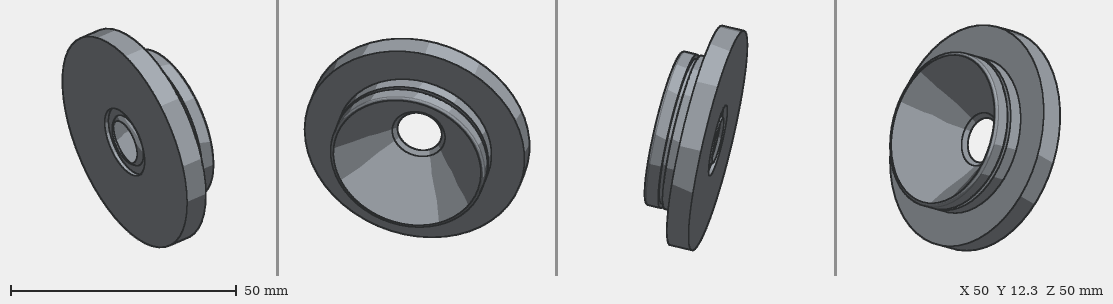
import cadquery as cq
import math

flange_diameter = 50.0
flange_thickness = 5.0

hub_diameter = 35.0
hub_length = 7.25
hub_edge_radius = 0.5

groove_diameter = 33.0
groove_width = 1.0
groove_offset = 3.0

throat_diameter = 10.0
mouth_diameter = 33.5

recess_diameter = 16.0
recess_depth = 1.0
lip_base_diameter = 12.0
lip_arc_radius = 2.5

total_length = flange_thickness + hub_length


def disc(diameter, start, length):
    """Solid cylinder along +Y that begins at Y = start."""
    plane = cq.Workplane("XZ", origin=(0, start, 0))
    return plane.circle(diameter / 2).extrude(-length)


def cone(start_diameter, end_diameter, length):
    """Solid truncated cone along +Y that begins at Y = 0."""
    origin = cq.Vector(0, 0, 0)
    axis = cq.Vector(0, 1, 0)
    return cq.Workplane(
        cq.Solid.makeCone(start_diameter / 2, end_diameter / 2, length, origin, axis)
    )


flange = disc(flange_diameter, 0, flange_thickness)
hub = disc(hub_diameter, flange_thickness, hub_length)
hub = hub.faces(">Y").edges().fillet(hub_edge_radius)
body = flange.union(hub)

groove_start = flange_thickness + groove_offset
groove = disc(hub_diameter, groove_start, groove_width).cut(
    disc(groove_diameter, groove_start, groove_width)
)

tip_radius = throat_diameter / 2
base_radius = lip_base_diameter / 2
lip_width = base_radius - tip_radius
lip_chord = math.hypot(lip_width, recess_depth)
lip_bulge = lip_arc_radius - math.sqrt(lip_arc_radius**2 - (lip_chord / 2) ** 2)
lip_crown = (
    (tip_radius + base_radius) / 2 + lip_bulge * recess_depth / lip_chord,
    recess_depth / 2 - lip_bulge * lip_width / lip_chord,
)
lip = (
    cq.Workplane("XY")
    .lineTo(tip_radius, 0)
    .threePointArc(lip_crown, (base_radius, recess_depth))
    .lineTo(0, recess_depth)
    .close()
    .revolve(360, (0, 0), (0, 1))
)
recess = disc(recess_diameter, 0, recess_depth).cut(lip)

opening = cone(throat_diameter, mouth_diameter, total_length)

result = body.cut(groove).cut(recess).cut(opening)